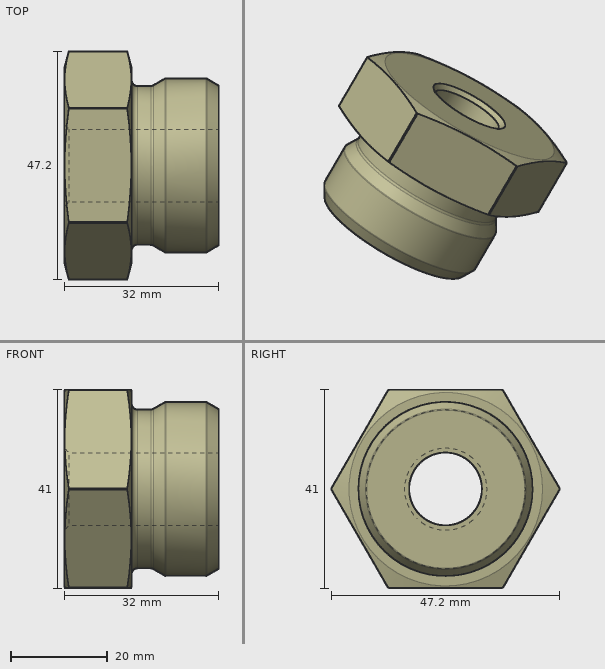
import cadquery as cq
import math

total_length = 32.0
hex_length = 14.0
across_flats = 41.0
corner_diameter = 47.2
hex_face_diameter = 40.0
hex_chamfer_angle = 15.0

neck_diameter = 32.9
collar_diameter = 36.0
collar_start = 20.9
collar_end = 29.4
cone_angle = 30.0
neck_fillet = 1.1
collar_rounding = 0.3

bore_diameter = 15.0
bore_mouth_diameter = 17.0

edge_tolerance = 0.005

corner_radius = corner_diameter / 2
hex_face_radius = hex_face_diameter / 2
hex_chamfer_depth = (corner_radius - hex_face_radius) * math.tan(math.radians(hex_chamfer_angle))
neck_radius = neck_diameter / 2
collar_radius = collar_diameter / 2
cone_slope = math.tan(math.radians(cone_angle))
cone_start = collar_start - (collar_radius - neck_radius) / cone_slope
tip_radius = collar_radius - (total_length - collar_end) * cone_slope
bore_chamfer = (bore_mouth_diameter - bore_diameter) / 2


def revolve_profile(points):
    """Revolve a closed outline of (x, radius) points about the X axis."""
    return cq.Workplane("XY").polyline(points).close().revolve(360, (0, 0), (1, 0))


def make_hex_head():
    """Hexagon with flats facing +Z and -Z, its corners turned down and chamfered at both ends."""
    across_corners = across_flats / math.cos(math.pi / 6)
    prism = cq.Workplane("YZ").polygon(6, across_corners).extrude(hex_length)
    turned_blank = revolve_profile([
        (0, 0),
        (0, hex_face_radius),
        (hex_chamfer_depth, corner_radius),
        (hex_length - hex_chamfer_depth, corner_radius),
        (hex_length, hex_face_radius),
        (hex_length, 0),
    ])
    return prism.intersect(turned_blank)


def round_rim(body, x, rim_radius, round_radius):
    """Fillet the circular edge of the given radius that lies at position x."""
    rims = body.edges("%CIRCLE").filter(
        lambda edge: abs(edge.startPoint().x - x) < edge_tolerance
        and abs(edge.radius() - rim_radius) < edge_tolerance
    )
    return rims.fillet(round_radius)


def make_shank():
    """Neck flaring into a collar with a tapered tip; the flare and the collar rims are rounded."""
    shank = revolve_profile([
        (hex_length, 0),
        (hex_length, neck_radius),
        (cone_start, neck_radius),
        (collar_start, collar_radius),
        (collar_end, collar_radius),
        (total_length, tip_radius),
        (total_length, 0),
    ])
    shank = round_rim(shank, cone_start, neck_radius, neck_fillet)
    shank = round_rim(shank, collar_start, collar_radius, collar_rounding)
    shank = round_rim(shank, collar_end, collar_radius, collar_rounding)
    return round_rim(shank, total_length, tip_radius, collar_rounding)


def make_bore():
    """Through bore with a 45-degree chamfer at the head end."""
    bore_radius = bore_diameter / 2
    return revolve_profile([
        (0, 0),
        (0, bore_radius + bore_chamfer),
        (bore_chamfer, bore_radius),
        (total_length, bore_radius),
        (total_length, 0),
    ])


body = make_hex_head().union(make_shank())
body = round_rim(body, hex_length, neck_radius, neck_fillet)
result = body.cut(make_bore())